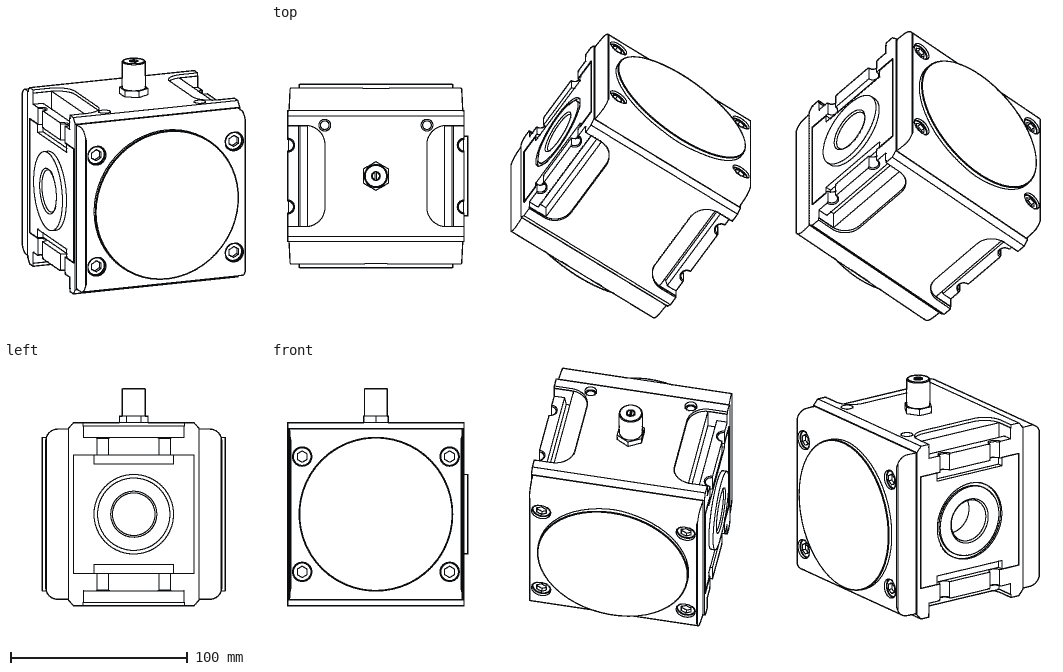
import cadquery as cq
import math

BODY_X = 99.9
BODY_Y = 74.0
BODY_Z = 103.6
BODY_CHAMFER_Y = 3.0
BODY_CHAMFER_Z = 3.2
TOTAL_X = 102.0
TOTAL_Y = 104.0
TOTAL_Z = 123.0

COVER_X = 98.4
COVER_Y = 99.6
COVER_Z = 96.4
COVER_FILLET = 6.9
COVER_DRAFT = 0.6
COVER_EDGE_X = 0.5
COVER_EDGE_Y = 0.5
DISC_DIAMETER = 87.0
DISC_EDGE = 0.4

SCREW_X = 41.7
SCREW_Z = 32.6
SCREW_SEAT_DIAMETER = 11.0
SCREW_HEAD_DIAMETER = 10.0
SCREW_HEAD_SINK = 1.1
SCREW_GAP_DEPTH = 1.6
SCREW_HEX_FLATS = 5.5
SCREW_HEX_DEPTH = 3.3

BORE_DIAMETER = 24.1
BORE_DEPTH = 17.2
BORE_CHAMFER = 1.0
SEAL_OUTER_DIAMETER = 45.0
SEAL_INNER_DIAMETER = 41.0
SEAL_GROOVE_DEPTH = 1.2

PANEL_Y = 68.4
PANEL_Z = 66.9
PANEL_DEPTH = 0.4

SEAT_Y = 57.3
SEAT_CORNER_RADIUS = 11.1
SHELF_INNER_X = 28.8
SHELF_DEPTH = 1.8
STEP_Y = 56.8
STEP_INNER_X = 38.7
BAR_INNER_X = 43.9
BAR_TOP_Z = 43.4
BAR_SLOPE_X = 1.0
GUTTER_DEPTH = 5.5
GRIP_Y = 45.1
GRIP_HEIGHT = 5.0
GRIP_DEPTH = 3.7
NOTCH_Y = 17.5
NOTCH_DIAMETER = 6.6
NOTCH_CHAMFER = 0.6

TOP_HOLE_X = 28.9
TOP_HOLE_Y = 28.8
TOP_HOLE_DIAMETER = 4.9
TOP_BORE_DIAMETER = 6.6
TOP_BORE_DEPTH = 2.5
TOP_HOLE_DEPTH = 6.2

NUT_FLATS = 14.0
NUT_HEIGHT = 3.7
STEM_DIAMETER = 13.0
STEM_CHAMFER = 0.5
STEM_HOLE_DIAMETER = 4.9
STEM_HOLE_DEPTH = 1.2
STEM_SCREW_DIAMETER = 4.0
STEM_SLOT_WIDTH = 0.7

HALF_X = BODY_X / 2
HALF_Y = BODY_Y / 2
HALF_Z = BODY_Z / 2
BAR_BOTTOM_Z = PANEL_Z / 2


def box(x_range, y_range, z_range):
    """Box spanning the given (low, high) ranges."""
    lows, highs = zip(x_range, y_range, z_range)
    sizes = [high - low for low, high in zip(lows, highs)]
    return cq.Workplane("XY").box(*sizes, centered=False).translate(lows)


def hex_diameter(flats):
    """Corner-to-corner size of a hexagon from its size across flats."""
    return 2 * flats / math.sqrt(3)


def mirrored_pair(shape, plane):
    return shape.union(shape.mirror(plane))


def body():
    """Middle block with bevelled long edges at the top and bottom."""
    flat_y = HALF_Y - BODY_CHAMFER_Y
    bevel_z = HALF_Z - BODY_CHAMFER_Z
    corner = [(HALF_Y, bevel_z), (flat_y, HALF_Z)]
    upper = corner + [(-y, z) for y, z in reversed(corner)]
    outline = upper + [(-y, -z) for y, z in upper]
    return cq.Workplane("YZ").polyline(outline).close().extrude(HALF_X, both=True)


def covers():
    """Rounded end covers, each carrying a flat round disc."""
    edge_x = COVER_X / 2 - COVER_DRAFT
    half_y = COVER_Y / 2
    flank = [
        (COVER_X / 2, 0),
        (COVER_X / 2, HALF_Y),
        (edge_x, half_y - COVER_EDGE_Y),
        (edge_x - COVER_EDGE_X, half_y),
        (0, half_y),
        (0, 0),
    ]
    quarter = cq.Workplane("XY").polyline(flank).close().extrude(COVER_Z / 2, both=True)
    block = mirrored_pair(mirrored_pair(quarter, "YZ"), "XZ")
    rounded = cq.Workplane("XY").box(COVER_X, COVER_Y, COVER_Z).edges("|X").fillet(COVER_FILLET)
    block = block.intersect(rounded)
    disc = cq.Workplane("XZ").circle(DISC_DIAMETER / 2).extrude(TOTAL_Y / 2, both=True)
    disc = disc.faces("<Y or >Y").edges().chamfer(DISC_EDGE)
    return block.union(disc)


def screw_recesses():
    """Ring gap and hexagon socket of the four screws in each cover."""
    places = [(x, z) for x in (-SCREW_X, SCREW_X) for z in (-SCREW_Z, SCREW_Z)]
    face = cq.Workplane("XZ", origin=(0, -COVER_Y / 2, 0)).pushPoints(places)
    seat = face.circle(SCREW_SEAT_DIAMETER / 2).extrude(-SCREW_GAP_DEPTH)
    head = (
        cq.Workplane("XZ", origin=(0, SCREW_HEAD_SINK - COVER_Y / 2, 0))
        .pushPoints(places)
        .circle(SCREW_HEAD_DIAMETER / 2)
        .extrude(SCREW_HEAD_SINK - SCREW_GAP_DEPTH)
    )
    socket = cq.Workplane("XY")
    for x, z in places:
        hexagon = (
            cq.Workplane("XZ", origin=(x, -COVER_Y / 2, z))
            .transformed(rotate=(0, 0, 90))
            .polygon(6, hex_diameter(SCREW_HEX_FLATS))
            .extrude(-SCREW_HEX_DEPTH)
        )
        socket = socket.add(hexagon)
    recess = seat.cut(head).union(socket.combine())
    return mirrored_pair(recess, "XZ")


def clamp_seat():
    """Material removed at the upper edge of the -X face to form the clamp bar."""
    half_y = SEAT_Y / 2
    shelf = box(
        (-HALF_X, -SHELF_INNER_X),
        (-half_y, half_y),
        (HALF_Z - SHELF_DEPTH, HALF_Z),
    )
    shelf = shelf.edges("|Z").edges(">X").fillet(SEAT_CORNER_RADIUS)
    step_outline = [
        (-HALF_X, HALF_Z),
        (-HALF_X, BAR_TOP_Z),
        (-BAR_INNER_X, BAR_TOP_Z),
        (-BAR_INNER_X + BAR_SLOPE_X, BAR_TOP_Z - GUTTER_DEPTH),
        (-STEP_INNER_X, BAR_TOP_Z - GUTTER_DEPTH),
        (-STEP_INNER_X, HALF_Z),
    ]
    step = cq.Workplane("XZ").polyline(step_outline).close().extrude(STEP_Y / 2, both=True)
    grip = box(
        (-HALF_X, -HALF_X + GRIP_DEPTH),
        (-GRIP_Y / 2, GRIP_Y / 2),
        (BAR_BOTTOM_Z - GRIP_HEIGHT, BAR_BOTTOM_Z),
    )
    seat = shelf.union(step).union(grip)
    for y in (-NOTCH_Y, NOTCH_Y):
        notch = (
            cq.Workplane("XY", origin=(-HALF_X, y, BAR_BOTTOM_Z))
            .circle(NOTCH_DIAMETER / 2)
            .extrude(BAR_TOP_Z - BAR_BOTTOM_Z)
        )
        flare = (
            cq.Workplane("XY", origin=(-HALF_X, y, BAR_TOP_Z))
            .circle(NOTCH_DIAMETER / 2 + NOTCH_CHAMFER)
            .workplane(offset=-NOTCH_CHAMFER)
            .circle(NOTCH_DIAMETER / 2)
            .loft()
        )
        seat = seat.union(notch).union(flare)
    return seat


def port_panel():
    """Shallow rectangle sunk into the -X face."""
    return box(
        (-HALF_X, -HALF_X + PANEL_DEPTH),
        (-PANEL_Y / 2, PANEL_Y / 2),
        (-PANEL_Z / 2, PANEL_Z / 2),
    )


def port_bore(face_x):
    """Blind bore with a bevelled mouth, running in +X from face_x."""
    radius = BORE_DIAMETER / 2
    bore = cq.Workplane("YZ", origin=(face_x, 0, 0)).circle(radius).extrude(BORE_DEPTH)
    mouth = (
        cq.Workplane("YZ", origin=(face_x, 0, 0))
        .circle(radius + BORE_CHAMFER)
        .workplane(offset=BORE_CHAMFER)
        .circle(radius)
        .loft()
    )
    return bore.union(mouth)


def seal_groove():
    """Ring groove around the -X port, sunk below the panel."""
    return (
        cq.Workplane("YZ", origin=(-HALF_X + PANEL_DEPTH, 0, 0))
        .circle(SEAL_OUTER_DIAMETER / 2)
        .circle(SEAL_INNER_DIAMETER / 2)
        .extrude(SEAL_GROOVE_DEPTH)
    )


def port_boss():
    """Round spigot standing out of the +X face."""
    start = HALF_X - PANEL_DEPTH
    height = TOTAL_X - HALF_X - start
    return cq.Workplane("YZ", origin=(start, 0, 0)).circle(SEAL_OUTER_DIAMETER / 2).extrude(height)


def top_holes():
    """Counterbored blind holes near the +Y edge of the top face."""
    face = cq.Workplane("XY", origin=(0, 0, HALF_Z)).pushPoints(
        [(-TOP_HOLE_X, TOP_HOLE_Y), (TOP_HOLE_X, TOP_HOLE_Y)]
    )
    counterbores = face.circle(TOP_BORE_DIAMETER / 2).extrude(-TOP_BORE_DEPTH)
    holes = face.circle(TOP_HOLE_DIAMETER / 2).extrude(-TOP_HOLE_DEPTH)
    return counterbores.union(holes)


def stem():
    """Hexagon nut and round stem with a slotted screw in its end."""
    top_z = TOTAL_Z - HALF_Z
    nut = (
        cq.Workplane("XY", origin=(0, 0, HALF_Z))
        .transformed(rotate=(0, 0, 90))
        .polygon(6, hex_diameter(NUT_FLATS))
        .extrude(NUT_HEIGHT)
    )
    post = cq.Workplane("XY", origin=(0, 0, HALF_Z)).circle(STEM_DIAMETER / 2).extrude(top_z - HALF_Z)
    post = post.faces(">Z").chamfer(STEM_CHAMFER)
    gap = (
        cq.Workplane("XY", origin=(0, 0, top_z))
        .circle(STEM_HOLE_DIAMETER / 2)
        .circle(STEM_SCREW_DIAMETER / 2)
        .extrude(-STEM_HOLE_DEPTH)
    )
    slot = (
        cq.Workplane("XY", origin=(0, 0, top_z))
        .rect(STEM_SLOT_WIDTH, STEM_SCREW_DIAMETER)
        .extrude(-STEM_HOLE_DEPTH)
    )
    return nut.union(post).cut(gap).cut(slot)


seats = mirrored_pair(mirrored_pair(clamp_seat(), "XY"), "YZ")
panels = mirrored_pair(port_panel(), "YZ")

result = body().union(covers()).cut(screw_recesses())
result = result.cut(seats).cut(panels).cut(seal_groove()).cut(top_holes())
result = result.union(port_boss()).union(stem())
result = result.cut(port_bore(-HALF_X + PANEL_DEPTH))
result = result.cut(port_bore(HALF_X - TOTAL_X).mirror("YZ"))